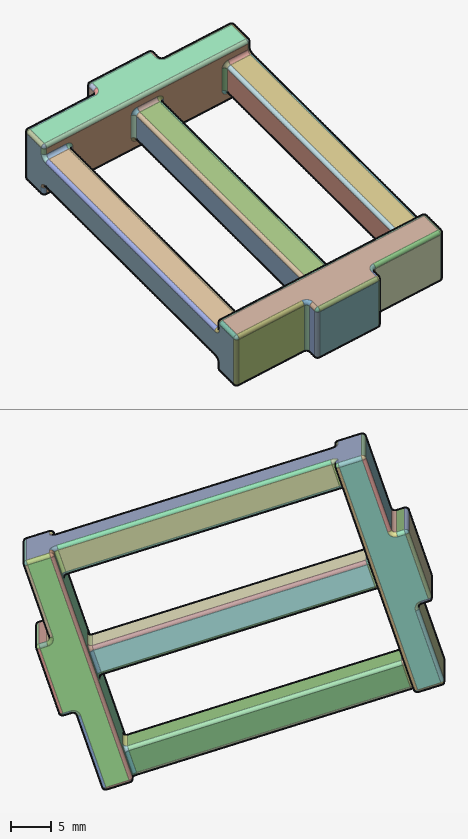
import cadquery as cq

length = 49.0
width = 32.0
height = 9.0

rail_thickness = 4.0
tab_depth = 2.0
tab_width = 10.0

bar_width = 4.0
bar_height = 5.0

edge_radius = 0.5

frame_length = length - 2 * tab_depth
rail_x = (frame_length - rail_thickness) / 2
outer_bar_y = (width - bar_width) / 2


def end_rails():
    """Two full-height rails running along Y at the ends of the frame."""
    return cq.Workplane("XY").pushPoints([(-rail_x, 0), (rail_x, 0)]).box(rail_thickness, width, height)


def end_tabs():
    """Two full-height tabs standing out from the middle of the rails."""
    tab_x = (length - tab_depth) / 2
    return cq.Workplane("XY").pushPoints([(-tab_x, 0), (tab_x, 0)]).box(tab_depth, tab_width, height)


def cross_bars():
    """Three bars along X, flush with the rail ends at the two sides and one in the middle."""
    bar_places = [(0, y) for y in (-outer_bar_y, 0, outer_bar_y)]
    bar_length = frame_length - 2 * rail_thickness
    return cq.Workplane("XY").pushPoints(bar_places).box(bar_length, bar_width, bar_height)


frame = end_rails().union(end_tabs()).union(cross_bars()).clean()
result = frame.edges().fillet(edge_radius)